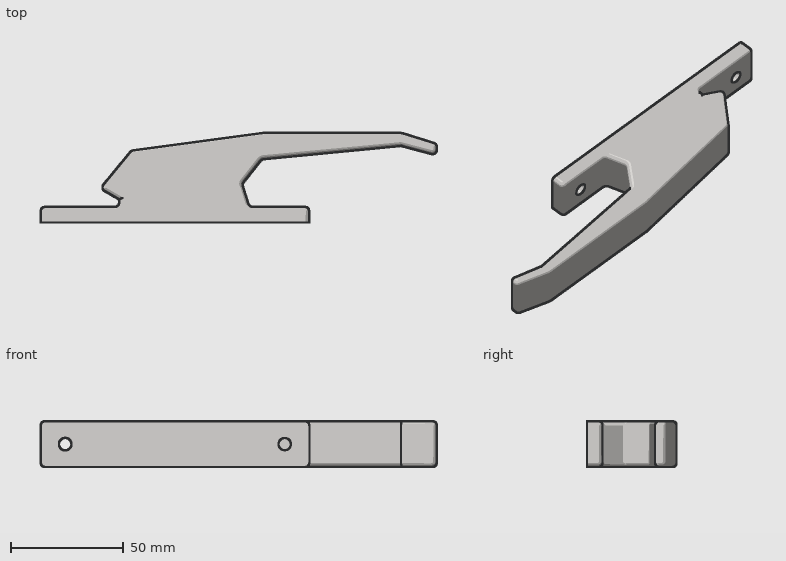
import cadquery as cq

total_length = 176.5
total_height = 40.0
width = 20.5

plate_length = 119.7
plate_thickness = 7.0
hole_diameter = 5.5
hole_inset = 11.0

nose_shoulder = (40.5, 32.1)
nose_tip = (26.5, 15.2)
nose_root = (35.0, 10.2)

lever_start = (99.5, total_height)
lever_bend_x = 160.6
lever_bend_top = (lever_bend_x, total_height)
lever_bend_bottom = (lever_bend_x, 34.0)
tip_top = (total_length, 35.1)
tip_bottom = (total_length, 29.8)

throat_top = (98.5, 28.0)
throat_middle = (89.8, 17.1)
throat_bottom = (93.0, plate_thickness)

plate_top_left = (0, plate_thickness)
plate_top_right = (plate_length, plate_thickness)
nose_foot = (nose_root[0], plate_thickness)

edge_radius = 2.0
lever_top_radius = 8.0


def corner_edges(body, corners):
    """Edges of the body that run along Z through the given profile corners."""
    edges = []
    for x, y in corners:
        nearest = cq.selectors.NearestToPointSelector((x, y, width / 2))
        edges += body.edges("|Z").edges(nearest).vals()
    return edges


def extruded_profile():
    """Plate, nose and lever as one straight extrusion along Z."""
    outline = [
        (0, 0),
        (plate_length, 0),
        plate_top_right,
        throat_bottom,
        throat_middle,
        throat_top,
        lever_bend_bottom,
        tip_bottom,
        tip_top,
        lever_bend_top,
        lever_start,
        nose_shoulder,
        nose_tip,
        nose_root,
        nose_foot,
        plate_top_left,
    ]
    return cq.Workplane("XY").polyline(outline).close().extrude(width)


def blend_lever_top(body):
    """Large rounds on the two shallow bends along the top of the lever."""
    bends = corner_edges(body, [lever_start, lever_bend_top])
    return body.newObject(bends).fillet(lever_top_radius)


def round_edges(body):
    """Round the rims of both side faces and the profile corners; the mounting face stays sharp."""
    rims = body.faces("|Z").edges("not <Y").vals()
    corners = corner_edges(body, [
        plate_top_left,
        plate_top_right,
        throat_bottom,
        throat_middle,
        throat_top,
        tip_bottom,
        tip_top,
        nose_shoulder,
        nose_tip,
        nose_foot,
    ])
    return body.newObject(rims + corners).fillet(edge_radius)


def screw_hole(x):
    """Cutter for a hole through the plate, square to the mounting face."""
    start = cq.Vector(x, 0, width / 2)
    return cq.Solid.makeCylinder(hole_diameter / 2, plate_thickness, start, cq.Vector(0, 1, 0))


result = round_edges(blend_lever_top(extruded_profile()))
for hole_x in (hole_inset, plate_length - hole_inset):
    result = result.cut(screw_hole(hole_x))